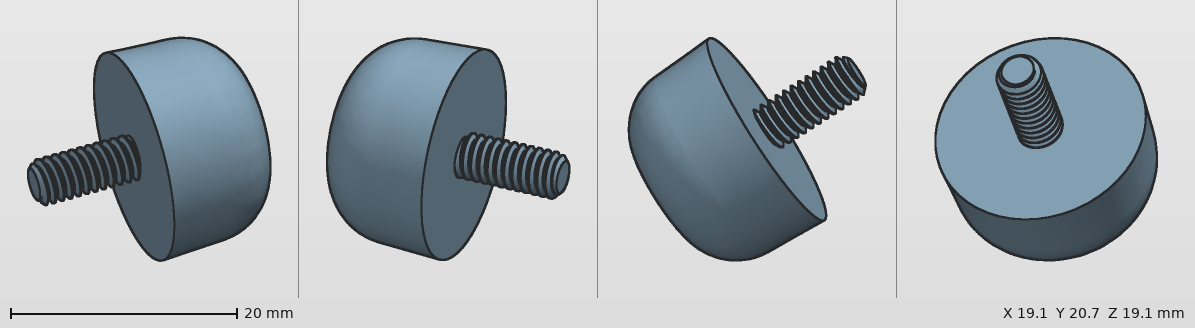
import cadquery as cq
import math

total_length = 20.65
knob_height = 11.1
knob_base_diameter = 19.05
knob_draft = 3.0
dome_radius = 5.57

stud_length = total_length - knob_height
stud_diameter = 4.17
thread_turns = 12
thread_angle = 60.0
thread_start_depth = 0.43
tip_chamfer = 0.62
stud_embed = 1.03

stud_radius = stud_diameter / 2
pitch = stud_length / thread_turns
crest_width = pitch / 8
root_width = pitch / 8
half_flank_angle = math.radians(thread_angle / 2)
thread_depth = (pitch - crest_width - root_width) / 2 / math.tan(half_flank_angle)
root_radius = stud_radius - thread_depth
ridge_embed = 0.05
crest_clearance = 0.1


def make_knob():
    """Drafted round body, its far edge rounded over into a dome."""
    base_radius = knob_base_diameter / 2
    top_radius = base_radius - knob_height * math.tan(math.radians(knob_draft))
    outline = [(0, 0), (base_radius, 0), (top_radius, knob_height), (0, knob_height)]
    body = cq.Workplane("XY").polyline(outline).close().revolve(360, (0, 0), (0, 1))
    return body.faces(">Y").edges().fillet(dome_radius)


def make_thread_ridge():
    """Helical ridge along +Z, running past both ends of the stud."""
    start = -thread_start_depth
    helix = cq.Wire.makeHelix(pitch, stud_length + pitch, root_radius, cq.Vector(0, 0, start))
    inner_radius = root_radius - ridge_embed
    half_inner = (pitch - root_width) / 2 + ridge_embed * math.tan(half_flank_angle)
    half_crest = crest_width / 2
    profile = [
        (inner_radius, start - half_inner),
        (stud_radius, start - half_crest),
        (stud_radius, start + half_crest),
        (inner_radius, start + half_inner),
    ]
    section = cq.Workplane("XZ").polyline(profile).close()
    return section.sweep(cq.Workplane(obj=helix), isFrenet=True)


def stud_cylinder(radius):
    """Plain cylinder along +Z over the stud, including its buried end."""
    base = cq.Workplane("XY").workplane(offset=-stud_embed)
    return base.circle(radius).extrude(stud_embed + stud_length)


def make_stud():
    """Threaded stud with a chamfered tip, turned to point along -Y."""
    envelope = stud_cylinder(stud_radius + crest_clearance)
    envelope = envelope.faces(">Z").chamfer(tip_chamfer + crest_clearance)
    core = stud_cylinder(root_radius).intersect(envelope)
    ridge = make_thread_ridge().intersect(envelope)
    stud = ridge.union(core, clean=False)
    return stud.rotate((0, 0, 0), (1, 0, 0), 90)


result = make_knob().union(make_stud())